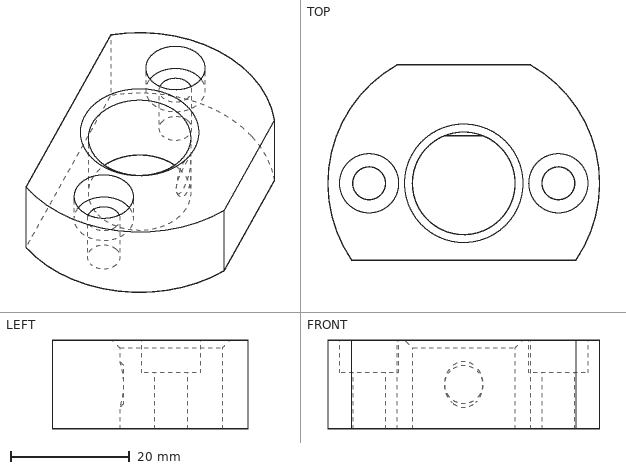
import cadquery as cq

body_diameter = 45.9
height = 15.0
rear_flat_y = 20.0
front_flat_y = -13.0

bore_diameter = 17.3
chamfer_diameter = 20.0
chamfer_depth = (chamfer_diameter - bore_diameter) / 2

screw_hole_diameter = 5.5
counterbore_diameter = 10.0
counterbore_depth = 5.5
screw_offset_x = 15.98

stub_tip_diameter = 6.45
stub_tip_y = 8.0
stub_length = 1.0
stub_root_diameter = stub_tip_diameter + 2 * stub_length


def make_body():
    flats_depth = rear_flat_y - front_flat_y
    flats_center_y = (rear_flat_y + front_flat_y) / 2
    disc = cq.Workplane("XY").circle(body_diameter / 2).extrude(height)
    slab = (
        cq.Workplane("XY")
        .center(0, flats_center_y)
        .rect(body_diameter, flats_depth)
        .extrude(height)
    )
    return disc.intersect(slab)


def cut_bore(body):
    bored = body.faces(">Z").workplane(origin=(0, 0, height)).hole(bore_diameter)
    bore_rim = cq.selectors.RadiusNthSelector(0)
    return bored.faces(">Z").edges("%CIRCLE").edges(bore_rim).chamfer(chamfer_depth)


def cut_screw_holes(body):
    return (
        body.faces(">Z")
        .workplane(origin=(0, 0, height))
        .pushPoints([(-screw_offset_x, 0), (screw_offset_x, 0)])
        .cboreHole(screw_hole_diameter, counterbore_diameter, counterbore_depth)
    )


def make_stub():
    root_y = stub_tip_y + stub_length
    stub = cq.Solid.makeCone(
        stub_root_diameter / 2,
        stub_tip_diameter / 2,
        stub_length,
        pnt=cq.Vector(0, root_y, height / 2),
        dir=cq.Vector(0, -1, 0),
    )
    return cq.Workplane(stub)


result = cut_screw_holes(cut_bore(make_body())).union(make_stub())